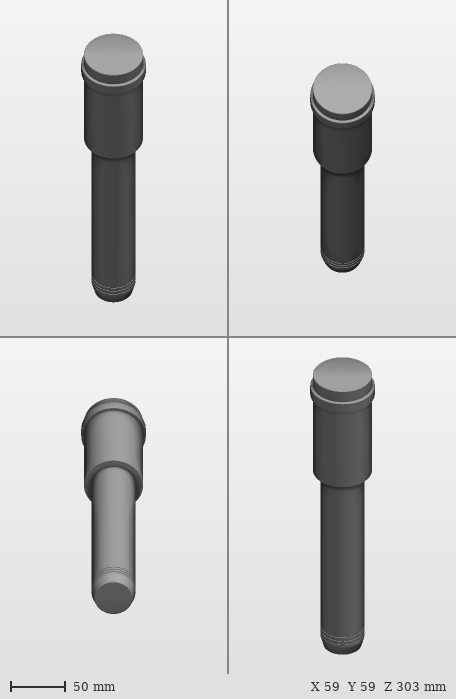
import cadquery as cq
import math

total_length = 303.0
shaft_radius = 20.0
sleeve_radius = 27.0
collar_radius = 29.5
edge_chamfer = 0.5

head_height = 12.0
collar_height = 10.0
sleeve_length = 86.0
collar_top = total_length - head_height
collar_bottom = collar_top - collar_height
sleeve_bottom = collar_bottom - sleeve_length

tip_length = 10.0
tip_angle = math.radians(15.0)
tip_radius = shaft_radius - tip_length * math.tan(tip_angle)

lubrication_groove_count = 3
lubrication_groove_pitch = 4.0
lubrication_groove_depth = 0.5
lowest_groove_bottom = 13.0

relief_groove_depth = 0.3

groove_width = 1.0
cutter_clearance = 1.0


def make_cylinder(radius, bottom, top):
    """Solid cylinder about Z between two heights."""
    return cq.Workplane("XY").workplane(offset=bottom).circle(radius).extrude(top - bottom)


def make_shaft():
    """Lower shaft with its conical tip, chamfered at the end face."""
    tip = (
        cq.Workplane("XZ")
        .polyline([(0, 0), (tip_radius, 0), (shaft_radius, tip_length), (0, tip_length)])
        .close()
        .revolve(360, (0, 0, 0), (0, 1, 0))
        .faces("<Z")
        .chamfer(edge_chamfer)
    )
    return tip.union(make_cylinder(shaft_radius, tip_length, sleeve_bottom))


def make_sleeve():
    """Wide upper cylinder, chamfered at both ends."""
    return make_cylinder(sleeve_radius, sleeve_bottom, total_length).edges().chamfer(edge_chamfer)


def make_collar():
    """Collar around the sleeve, chamfered on its upper rim."""
    return make_cylinder(collar_radius, collar_bottom, collar_top).faces(">Z").chamfer(edge_chamfer)


def make_groove(radius, depth, bottom):
    """Ring that cuts one rectangular groove into a cylinder of the given radius."""
    return (
        cq.Workplane("XY")
        .workplane(offset=bottom)
        .circle(radius + cutter_clearance)
        .circle(radius - depth)
        .extrude(groove_width)
    )


def cut_shaft_grooves(shaft):
    """Cut the lubrication grooves and the relief groove under the sleeve."""
    for index in range(lubrication_groove_count):
        bottom = lowest_groove_bottom + index * lubrication_groove_pitch
        shaft = shaft.cut(make_groove(shaft_radius, lubrication_groove_depth, bottom))
    return shaft.cut(make_groove(shaft_radius, relief_groove_depth, sleeve_bottom - groove_width))


def cut_collar_reliefs(sleeve):
    """Cut a relief groove into the sleeve above and below the collar."""
    for bottom in (collar_top, collar_bottom - groove_width):
        sleeve = sleeve.cut(make_groove(sleeve_radius, relief_groove_depth, bottom))
    return sleeve


shaft_body = cut_shaft_grooves(make_shaft())
sleeve_body = cut_collar_reliefs(make_sleeve())
result = shaft_body.union(sleeve_body).union(make_collar())